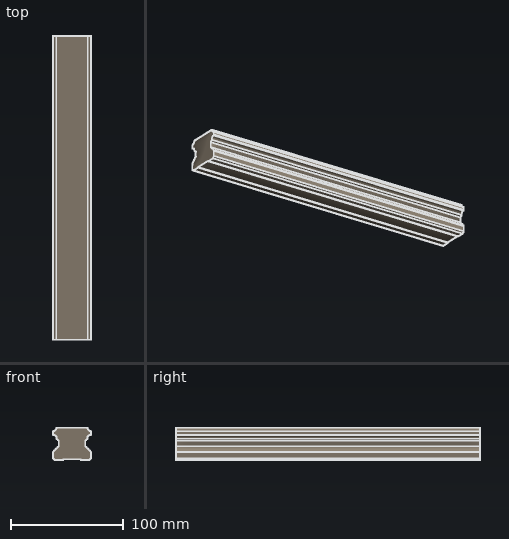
import cadquery as cq
import math

length = 270.0
width = 34.0
height = 29.0

head_top_width = 27.5
upper_groove_end_z = 25.6
upper_groove_sagitta = 0.8
lip_bottom_z = 22.7
lip_chamfer = 0.5
lower_groove_outer_x = 16.0
lower_groove_inner_x = 13.8
lower_groove_end_z = 19.7
lower_groove_sagitta = 0.68

shoulder_z = 19.0
neck_width = 23.8
neck_top_z = 17.3
neck_bottom_z = 12.5

side_bevel_width = 0.3
side_bevel_height = 0.8
foot_chamfer = 1.5

relief_width = 15.7
relief_depth = 0.5


def groove_midpoint(start, end, sagitta):
    """Middle point of an arc bowed to the right of the direction start -> end."""
    run = end[0] - start[0]
    rise = end[1] - start[1]
    chord = math.hypot(run, rise)
    mid_x = (start[0] + end[0]) / 2 + sagitta * rise / chord
    mid_z = (start[1] + end[1]) / 2 - sagitta * run / chord
    return mid_x, mid_z


def right_half_section():
    """Section of the rail at +X, closed along the centre plane."""
    side_x = width / 2
    neck_x = neck_width / 2
    relief_x = relief_width / 2

    upper_start = (head_top_width / 2, height)
    upper_end = (side_x, upper_groove_end_z)
    upper_middle = groove_midpoint(upper_start, upper_end, upper_groove_sagitta)

    lip_underside_z = lip_bottom_z - lip_chamfer
    lower_start = (lower_groove_outer_x, lip_underside_z)
    lower_end = (lower_groove_inner_x, lower_groove_end_z)
    lower_middle = groove_midpoint(lower_start, lower_end, lower_groove_sagitta)

    flank_end_x = side_x - side_bevel_width
    flank_end_z = neck_bottom_z - (flank_end_x - neck_x)

    return (
        cq.Workplane("XZ", origin=(0, length / 2, 0))
        .moveTo(0, height)
        .lineTo(*upper_start)
        .threePointArc(upper_middle, upper_end)
        .lineTo(side_x, lip_bottom_z)
        .lineTo(side_x - lip_chamfer, lip_underside_z)
        .lineTo(*lower_start)
        .threePointArc(lower_middle, lower_end)
        .lineTo(lower_groove_inner_x, shoulder_z)
        .lineTo(neck_x, neck_top_z)
        .lineTo(neck_x, neck_bottom_z)
        .lineTo(flank_end_x, flank_end_z)
        .lineTo(side_x, flank_end_z - side_bevel_height)
        .lineTo(side_x, foot_chamfer)
        .lineTo(side_x - foot_chamfer, 0)
        .lineTo(relief_x, 0)
        .lineTo(relief_x, relief_depth)
        .lineTo(0, relief_depth)
        .close()
    )


right_half = right_half_section().extrude(length)
result = right_half.union(right_half.mirror("YZ")).clean()